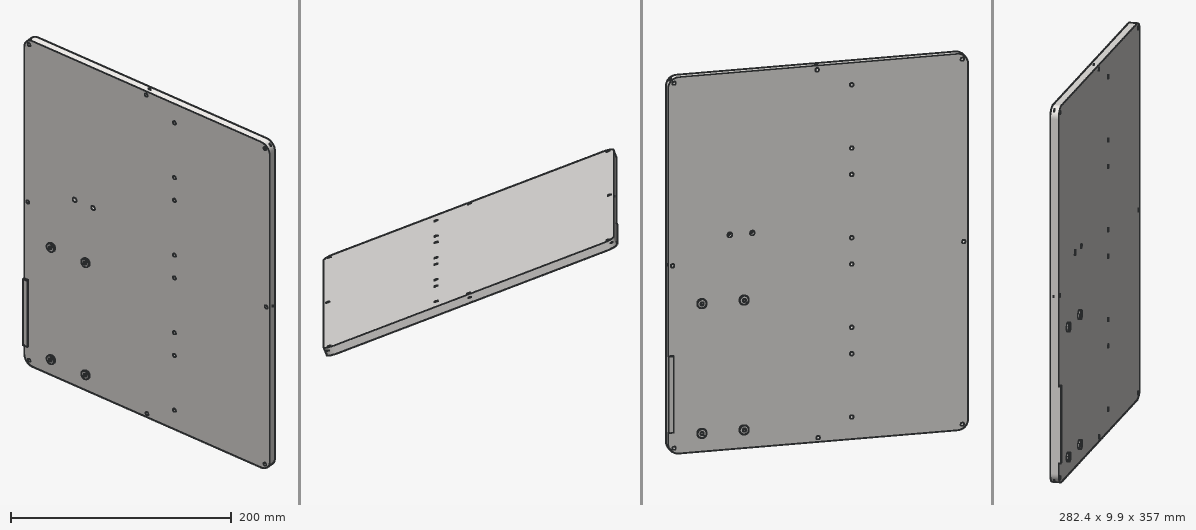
import cadquery as cq
import math

plate_width = 282.38
plate_height = 357.0
plate_thickness = 8.0
corner_radius = 10.0
half_width = plate_width / 2
half_height = plate_height / 2

raised_height = 1.9
strip_width = 4.7
strip_length = 72.5
strip_center_z = -121.5

boss_diameter = 8.6
boss_hole_diameter = 2.5
boss_hole_depth = 6.0
boss_hole_chamfer = 0.4
boss_center_x = -89.9
boss_center_z = -99.3
boss_spacing_x = 39.8
boss_spacing_z = 123.0

rim_hole_diameter = 3.4
rim_inset = 4.1
corner_hole_diameter = 3.2
corner_inset = 5.5
top_hole_x = -0.9

slit_height = 0.4
slit_depth = 0.6
slit_y = 4.9
wide_slit = 2.8
narrow_slit = 1.4

column_hole_diameter = 3.4
column_x = 31.6
pair_count = 4
pair_pitch = 85.0
pair_spacing = 60.0

blind_hole_z = 24.9
blind_hole_depth = 6.0
left_blind_x = -83.2
left_blind_diameter = 4.6
right_blind_x = -62.0
right_blind_diameter = 4.3


def front_plane(y=0.0):
    """Sketch plane facing -Y, with local x along X and local y along Z."""
    return cq.Workplane("XZ", origin=(0, y, 0))


def mirrored_points(center_x, center_z, offset_x, offset_z):
    """The four corners of a rectangle around the given centre."""
    return [
        (center_x + side_x * offset_x, center_z + side_z * offset_z)
        for side_x in (-1, 1)
        for side_z in (-1, 1)
    ]


def boss_points():
    return mirrored_points(boss_center_x, boss_center_z, boss_spacing_x / 2, boss_spacing_z / 2)


def corner_points():
    return mirrored_points(0, 0, half_width - corner_inset, half_height - corner_inset)


def rim_points():
    """One hole near the middle of each side of the plate."""
    return [
        (rim_inset - half_width, 0),
        (half_width - rim_inset, 0),
        (top_hole_x, half_height - rim_inset),
        (0, rim_inset - half_height),
    ]


def column_points():
    points = []
    for index in range(pair_count):
        pair_center = (index - (pair_count - 1) / 2) * pair_pitch
        points.append((column_x, pair_center - pair_spacing / 2))
        points.append((column_x, pair_center + pair_spacing / 2))
    return points


def drill(points, diameter, start_y, depth):
    """Cylinders that run from start_y in the +Y direction."""
    return front_plane(start_y).pushPoints(points).circle(diameter / 2).extrude(-depth)


def make_plate():
    plate = front_plane().rect(plate_width, plate_height).extrude(-plate_thickness)
    return plate.edges("|Y").fillet(corner_radius)


def make_strip():
    strip = front_plane().center((strip_width - plate_width) / 2, strip_center_z)
    return strip.rect(strip_width, strip_length).extrude(raised_height)


def make_bosses():
    return front_plane().pushPoints(boss_points()).circle(boss_diameter / 2).extrude(raised_height)


def make_boss_holes():
    holes = drill(boss_points(), boss_hole_diameter, -raised_height, boss_hole_depth)
    mouth_radius = boss_hole_diameter / 2 + boss_hole_chamfer
    for x, z in boss_points():
        mouth = cq.Solid.makeCone(
            mouth_radius,
            boss_hole_diameter / 2,
            boss_hole_chamfer,
            cq.Vector(x, -raised_height, z),
            cq.Vector(0, 1, 0),
        )
        holes = holes.union(cq.Workplane(mouth))
    return holes


def make_slit(x, z, length, angle):
    """Slit centred on a wall point; angle turns it about Y, 0 being along X."""
    slit = cq.Workplane().box(length, slit_height, 2 * slit_depth)
    return slit.rotate((0, 0, 0), (0, 1, 0), angle).translate((x, slit_y, z))


def make_slits():
    slits = make_slit(top_hole_x, half_height, wide_slit, 0)
    slits = slits.union(make_slit(0, -half_height, wide_slit, 0))
    for side in (-1, 1):
        slits = slits.union(make_slit(side * half_width, 0, narrow_slit, 90))
    corner_reach = corner_radius * (1 - math.sqrt(0.5))
    for x, z in mirrored_points(0, 0, half_width - corner_reach, half_height - corner_reach):
        slits = slits.union(make_slit(x, z, wide_slit, math.copysign(45, x * z)))
    return slits


result = make_plate().union(make_strip()).union(make_bosses())
result = result.cut(make_boss_holes())
result = result.cut(drill(rim_points(), rim_hole_diameter, 0, plate_thickness))
result = result.cut(drill(corner_points(), corner_hole_diameter, 0, plate_thickness))
result = result.cut(drill(column_points(), column_hole_diameter, 0, plate_thickness))
result = result.cut(drill([(left_blind_x, blind_hole_z)], left_blind_diameter, 0, blind_hole_depth))
result = result.cut(drill([(right_blind_x, blind_hole_z)], right_blind_diameter, 0, blind_hole_depth))
result = result.cut(make_slits())